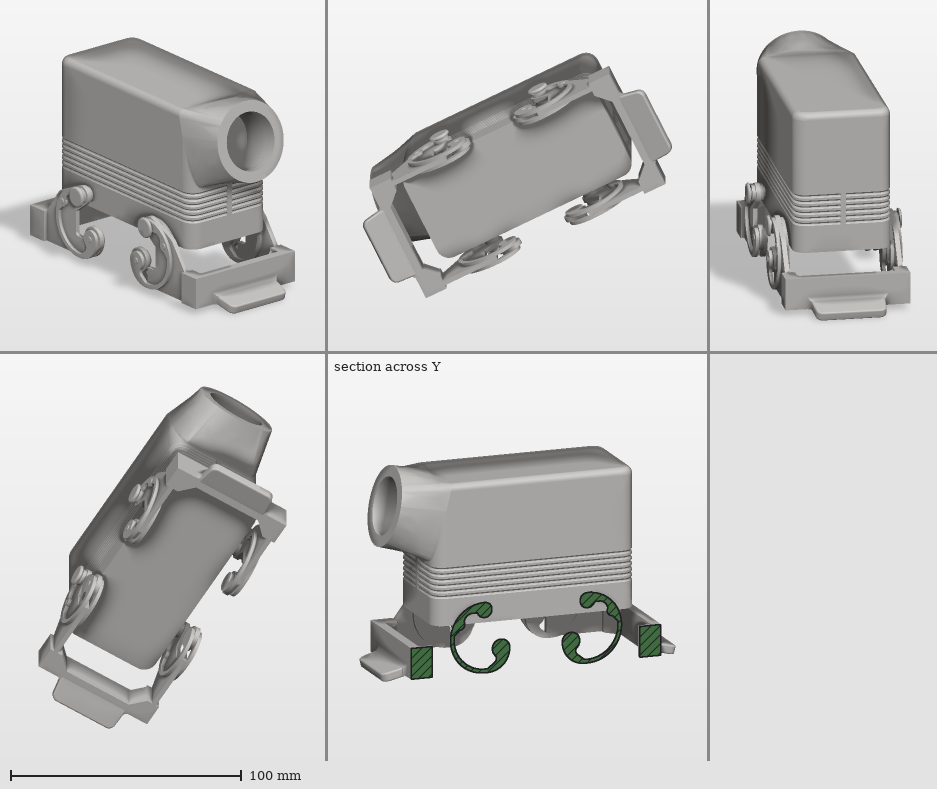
import cadquery as cq
import math

HOOD_LENGTH = 93.3
HOOD_WIDTH = 43.0
HOOD_HEIGHT = 63.0
HOOD_CORNER_RADIUS = 5.8
HOOD_TOP_RADIUS = 3.0

GROOVE_COUNT = 6
GROOVE_PITCH = 2.5
GROOVE_WIDTH = 1.5
GROOVE_WALL_ANGLE = 45.0
FIRST_GROOVE_Z = 12.9
GROOVE_BREAK_WIDTH = 2.5

SPOUT_TILT = 14.0
SPOUT_LENGTH = 19.6
SPOUT_BOTTOM_Z = 28.3
SPOUT_DIAMETER = 36.0
SPOUT_CORNER_ANGLES = (45.8, 55.2, 77.0, 141.7)
BORE_DIAMETER = 26.0

BAR_OUTER_X = -57.8
BAR_THICKNESS = 4.2
BRACKET_LENGTH = 10.0
BRACKET_WIDTH = 55.0
BRACKET_ARM_WIDTH = 6.0
BRACKET_TOP_Z = -8.0
BRACKET_BOTTOM_Z = -22.0
GUSSET_DROP = 1.3
BRACKET_INNER_X = BAR_OUTER_X + BRACKET_LENGTH
BRACKET_INNER_Y = BRACKET_WIDTH / 2 - BRACKET_ARM_WIDTH

PLATE_THICKNESS = 2.1
PLATE_MIDDLE_Y = 24.9
COVER_STACK = 5.2

RIVET_X = -23.75
RIVET_Z = 6.0
RIVET_STEM_RADIUS = 2.5
RIVET_HEAD_RADIUS = 4.6
RIVET_HEAD_THICKNESS = 1.1
RIVET_HEAD_ROUND = 0.95
RIVET_TIP_Y = 29.5
RIVET_EMBED = 1.0
PLATE_EYE_RADIUS = 4.35
COVER_EYE_RADIUS = 3.5

COVER_RADIUS = 15.9
COVER_INNER_RADIUS = 14.0
COVER_CENTER_Z = RIVET_Z + COVER_EYE_RADIUS - COVER_RADIUS

HOOK_CENTER_X = -22.5
HOOK_RADIUS = 10.5
EAR_RADIUS = 4.15
EAR_X = HOOK_CENTER_X + HOOK_RADIUS - EAR_RADIUS
EAR_Z = COVER_CENTER_Z - COVER_RADIUS + HOOK_RADIUS
ROLLER_RADIUS = 5.45

PIN_X = -35.35
PIN_Z = 0.4
PIN_RADIUS = 1.4
PIN_HEIGHT = 0.35
PIN_CHAMFER = 0.25
PIN_BOSS_RADIUS = 2.55

PLATE_END_X = -22.2
SLOT_X = -27.65
SLOT_TOP_Z = -2.4
SLOT_FLOOR_Z = -13.5
SLOT_RADIUS = 1.6

TAB_TILT = 15.0
TAB_TIP_X = -68.18
TAB_THICKNESS = 4.1
TAB_ROOT_TOP_Z = -18.0
TAB_ROOT_HALF_WIDTH = 16.4
TAB_TAPER = 7.0
TAB_CORNER_RADIUS = 3.0
TAB_EDGE_ROUND = 0.8
TAB_ROOT_RADIUS = 2.0


def box(x_range, y_range, z_range):
    """Axis-aligned box between pairs of coordinates."""
    sizes = [high - low for low, high in (x_range, y_range, z_range)]
    corner = (x_range[0], y_range[0], z_range[0])
    return cq.Workplane("XY").box(*sizes, centered=False).translate(corner)


def side_sketch_plane(y):
    """Plane parallel to XZ at the given Y; extrusion runs toward -Y."""
    return cq.Workplane("XZ", origin=(0, y, 0))


def disc(x, z, radius, y_near, y_far):
    """Cylinder along Y from y_far down to y_near."""
    return side_sketch_plane(y_far).center(x, z).circle(radius).extrude(y_far - y_near)


def polar(center, radius, degrees):
    """Point at an angle on a circle."""
    angle = math.radians(degrees)
    return (center[0] + radius * math.cos(angle), center[1] + radius * math.sin(angle))


def split_circle(plane, radius, half_angles):
    """Circle divided at the given angles on both sides of the plane's X axis."""
    angles = sorted([-angle for angle in half_angles] + list(half_angles))
    edges = []
    for start, end in zip(angles, angles[1:] + [angles[0] + 360]):
        points = [polar((0, 0), radius, angle) for angle in (start, (start + end) / 2, end)]
        edges.append(cq.Edge.makeThreePointArc(*[plane.toWorldCoords(point) for point in points]))
    return cq.Wire.assembleEdges(edges)


def hood_block(z_bottom, height, taper=0.0):
    """Prism over the hood's plan outline, optionally narrowing upward."""
    outline = cq.Sketch().rect(HOOD_LENGTH, HOOD_WIDTH).vertices().fillet(HOOD_CORNER_RADIUS)
    plane = cq.Workplane("XY", origin=(0, 0, z_bottom)).placeSketch(outline)
    return plane.extrude(height, taper=taper)


def groove_ring(z_middle):
    """V-shaped band cut all round the hood, left solid at the end-face strips."""
    half = GROOVE_WIDTH / 2
    margin = 1.0
    half_length = HOOD_LENGTH / 2 + margin
    half_width = HOOD_WIDTH / 2 + margin
    ring = box((-half_length, half_length), (-half_width, half_width), (-half, half))
    cone = hood_block(0, half, taper=GROOVE_WALL_ANGLE)
    lower_core = cone.translate((0, 0, -half))
    upper_core = cone.mirror("XY").translate((0, 0, half))
    strip = box(
        (-half_length, half_length),
        (-GROOVE_BREAK_WIDTH / 2, GROOVE_BREAK_WIDTH / 2),
        (-half, half),
    )
    return ring.cut(lower_core).cut(upper_core).cut(strip).translate((0, 0, z_middle))


def make_hood():
    """Rounded hood with its grooves and the tilted cable spout."""
    hood = hood_block(0, HOOD_HEIGHT).faces(">Z").edges().fillet(HOOD_TOP_RADIUS)

    tilt = math.radians(SPOUT_TILT)
    axis = cq.Vector(math.cos(tilt), 0, math.sin(tilt))
    base_height = HOOD_HEIGHT - SPOUT_BOTTOM_Z
    base_middle = cq.Vector(
        HOOD_LENGTH / 2 - base_height * math.tan(tilt) / 2,
        0,
        SPOUT_BOTTOM_Z + base_height / 2,
    )
    base_plane = cq.Plane(origin=base_middle, xDir=(0, 1, 0), normal=axis)
    beyond = cq.Workplane(base_plane).rect(2 * HOOD_WIDTH, 2 * HOOD_HEIGHT).extrude(HOOD_LENGTH)
    end_block = box((0, HOOD_LENGTH), (-HOOD_WIDTH, HOOD_WIDTH), (SPOUT_BOTTOM_Z, 2 * HOOD_HEIGHT))
    hood = hood.cut(beyond.intersect(end_block))

    mouth = base_middle + axis * SPOUT_LENGTH
    rim_plane = cq.Plane(origin=mouth, xDir=(-math.sin(tilt), 0, math.cos(tilt)), normal=axis)
    rim = split_circle(rim_plane, SPOUT_DIAMETER / 2, SPOUT_CORNER_ANGLES)
    base = hood.faces(cq.selectors.ParallelDirSelector(axis)).val().outerWire()
    spout = cq.Solid.makeLoft([base, rim], True)
    hood = hood.union(cq.Workplane(spout))

    bore = cq.Solid.makeCylinder(BORE_DIAMETER / 2, SPOUT_LENGTH, mouth, axis * -1)
    hood = hood.cut(cq.Workplane(bore))
    for index in range(GROOVE_COUNT):
        hood = hood.cut(groove_ring(FIRST_GROOVE_Z + index * GROOVE_PITCH))
    return hood


def make_tab():
    """Sloping finger tab with rounded edges, running into the crossbar."""
    tilt = math.radians(TAB_TILT)
    root_x = BAR_OUTER_X + BAR_THICKNESS / 2
    tip_x = TAB_TIP_X - TAB_EDGE_ROUND * (math.cos(tilt) + math.sin(tilt) - 1)

    def top_z(x):
        return TAB_ROOT_TOP_Z - (BAR_OUTER_X - x) * math.tan(tilt)

    def half_width(x):
        return TAB_ROOT_HALF_WIDTH - (BAR_OUTER_X - x) * math.tan(math.radians(TAB_TAPER))

    drop = TAB_THICKNESS / math.cos(tilt)
    tip_low = (tip_x + TAB_THICKNESS * math.sin(tilt), top_z(tip_x) - TAB_THICKNESS * math.cos(tilt))
    slab = (
        cq.Workplane("XZ")
        .polyline([(root_x, top_z(root_x)), (tip_x, top_z(tip_x)), tip_low, (root_x, top_z(root_x) - drop)])
        .close()
        .extrude(BRACKET_WIDTH / 2, both=True)
    )
    plan = (
        cq.Workplane("XY", origin=(0, 0, BRACKET_BOTTOM_Z - BRACKET_LENGTH))
        .polyline([
            (root_x, -half_width(root_x)),
            (root_x, half_width(root_x)),
            (tip_x, half_width(tip_x)),
            (tip_x, -half_width(tip_x)),
        ])
        .close()
        .extrude(2 * BRACKET_LENGTH)
    )
    tab = slab.intersect(plan)
    tab = tab.faces("<X").edges("not |Y").fillet(TAB_CORNER_RADIUS)
    broad_faces = cq.selectors.ParallelDirSelector(cq.Vector(-math.sin(tilt), 0, math.cos(tilt)))
    root_edges = tab.faces(">X").edges().vals()
    rim = [edge for edge in tab.faces(broad_faces).edges().vals()
           if not any(edge.isSame(other) for other in root_edges)]
    return tab.newObject(rim).fillet(TAB_EDGE_ROUND)


def root_flare(plane, surface, decline, base):
    """Outline from base up to a tab surface, flaring on a concave arc into the crossbar.

    surface is where the tab surface meets the crossbar; it falls away outward by decline degrees.
    """
    open_angle = 90 - decline
    tangent_length = TAB_ROOT_RADIUS * math.tan(math.radians(open_angle / 2))
    center = (BAR_OUTER_X - TAB_ROOT_RADIUS, surface + tangent_length)
    inner_x = BAR_OUTER_X + BAR_THICKNESS / 2
    tab_tangent = polar(center, TAB_ROOT_RADIUS, -open_angle)
    return (
        plane.moveTo(inner_x, base)
        .lineTo(inner_x, center[1])
        .lineTo(*polar(center, TAB_ROOT_RADIUS, 0))
        .threePointArc(polar(center, TAB_ROOT_RADIUS, -open_angle / 2), tab_tangent)
        .lineTo(tab_tangent[0], base)
        .close()
    )


def make_tab_root():
    """Flare on the top and both sides of the tab where it joins the crossbar."""
    elevation = root_flare(cq.Workplane("XZ"), TAB_ROOT_TOP_Z, TAB_TILT, BRACKET_BOTTOM_Z)
    elevation = elevation.extrude(BRACKET_WIDTH / 2, both=True)
    plan_plane = cq.Workplane("XY", origin=(0, 0, BRACKET_BOTTOM_Z))
    plan = root_flare(plan_plane, TAB_ROOT_HALF_WIDTH, TAB_TAPER, 0)
    plan = plan.extrude(BRACKET_TOP_Z - BRACKET_BOTTOM_Z)
    half = elevation.intersect(plan)
    return half.union(half.mirror("XZ"))


def make_bracket():
    """Crossbar with its two short arms, corner gussets and the finger tab."""
    half_width = BRACKET_WIDTH / 2
    heights = (BRACKET_BOTTOM_Z, BRACKET_TOP_Z)
    bar_inner_x = BAR_OUTER_X + BAR_THICKNESS
    bracket = box((BAR_OUTER_X, BRACKET_INNER_X), (-half_width, half_width), heights)
    opening = box((bar_inner_x, BRACKET_INNER_X), (-BRACKET_INNER_Y, BRACKET_INNER_Y), heights)
    bracket = bracket.union(make_tab()).union(make_tab_root()).cut(opening)
    reach = BRACKET_INNER_X - bar_inner_x
    for side in (-1, 1):
        corner_y = side * BRACKET_INNER_Y
        gusset = (
            cq.Workplane("XY", origin=(0, 0, BRACKET_BOTTOM_Z))
            .polyline([
                (bar_inner_x, corner_y),
                (BRACKET_INNER_X, corner_y),
                (bar_inner_x, corner_y - side * reach),
            ])
            .close()
            .extrude(BRACKET_TOP_Z - GUSSET_DROP - BRACKET_BOTTOM_Z)
        )
        bracket = bracket.union(gusset)
    return bracket


def make_side_plate():
    """Flat side plate reaching from the bracket arm to the rivet, with its slot."""
    y_far = PLATE_MIDDLE_Y + PLATE_THICKNESS / 2
    y_near = PLATE_MIDDLE_Y - PLATE_THICKNESS / 2
    slope_end = (-40.5, 1.9)
    shoulder_middle = (-39.1, 3.63)
    shoulder_end = (-37.3, 4.9)
    eye = (RIVET_X, RIVET_Z)
    eye_upper_tangent = polar(eye, PLATE_EYE_RADIUS, 113)
    eye_lower_tangent = polar(eye, PLATE_EYE_RADIUS, -55)
    plate = (
        side_sketch_plane(y_far)
        .moveTo(BRACKET_INNER_X, BRACKET_BOTTOM_Z)
        .lineTo(BRACKET_INNER_X, BRACKET_TOP_Z)
        .lineTo(*slope_end)
        .threePointArc(shoulder_middle, shoulder_end)
        .lineTo(*eye_upper_tangent)
        .lineTo(*eye)
        .lineTo(*eye_lower_tangent)
        .lineTo(SLOT_X, SLOT_TOP_Z)
        .lineTo(SLOT_X, SLOT_FLOOR_Z + SLOT_RADIUS)
        .radiusArc((SLOT_X + SLOT_RADIUS, SLOT_FLOOR_Z), -SLOT_RADIUS)
        .lineTo(PLATE_END_X, SLOT_FLOOR_Z)
        .lineTo(PLATE_END_X, BRACKET_BOTTOM_Z)
        .close()
        .extrude(PLATE_THICKNESS)
    )
    return plate.union(disc(*eye, PLATE_EYE_RADIUS, y_near, y_far))


def make_hook():
    """Crescent covers on both faces of the side plate, ending in the hooked ear."""
    y_far = PLATE_MIDDLE_Y + COVER_STACK / 2
    y_near = PLATE_MIDDLE_Y - COVER_STACK / 2
    center = (RIVET_X, COVER_CENTER_Z)
    hook_center = (HOOK_CENTER_X, EAR_Z)
    ear = (EAR_X, EAR_Z)
    pin = (PIN_X, PIN_Z)
    throat_top = polar(ear, EAR_RADIUS, 225)
    throat_middle = (-18.45, -16.4)
    throat_bottom = (-19.65, -18.25)
    inner_start = polar(center, COVER_INNER_RADIUS, 276)
    inner_middle = polar(center, COVER_INNER_RADIUS, 225)
    inner_end = polar(center, COVER_INNER_RADIUS, 172)
    neck_shoulder = (-31.75, 4.05)
    neck_end = (-28.6, 4.9)
    cover_thickness = (COVER_STACK - PLATE_THICKNESS) / 2
    cover = (
        side_sketch_plane(cover_thickness)
        .moveTo(*polar(center, COVER_RADIUS, 90))
        .threePointArc(polar(center, COVER_RADIUS, 180), polar(center, COVER_RADIUS, 270))
        .lineTo(*polar(hook_center, HOOK_RADIUS, 270))
        .threePointArc(polar(hook_center, HOOK_RADIUS, 315), polar(ear, EAR_RADIUS, 0))
        .threePointArc(polar(ear, EAR_RADIUS, 110), throat_top)
        .threePointArc(throat_middle, throat_bottom)
        .lineTo(*inner_start)
        .threePointArc(inner_middle, inner_end)
        .lineTo(*polar(pin, PIN_BOSS_RADIUS, 270))
        .threePointArc(polar(pin, PIN_BOSS_RADIUS, 330), polar(pin, PIN_BOSS_RADIUS, 25))
        .threePointArc(neck_shoulder, neck_end)
        .lineTo(RIVET_X, neck_end[1])
        .close()
        .extrude(cover_thickness)
    )
    cover = cover.union(disc(RIVET_X, RIVET_Z, COVER_EYE_RADIUS, 0, cover_thickness))
    inner_cover = cover.translate((0, y_near, 0))
    outer_cover = cover.translate((0, y_far - cover_thickness, 0))
    half_plate = PLATE_THICKNESS / 2
    roller = disc(*ear, ROLLER_RADIUS, PLATE_MIDDLE_Y - half_plate, PLATE_MIDDLE_Y + half_plate)
    hook = roller.union(inner_cover).union(outer_cover)
    for x, z in (pin, ear):
        head = disc(x, z, PIN_RADIUS, y_far, y_far + PIN_HEIGHT)
        hook = hook.union(head.faces(">Y").chamfer(PIN_CHAMFER))
    return hook


def make_rivet():
    """Rivet joining the lever to the hood wall."""
    head_start = RIVET_TIP_Y - RIVET_HEAD_THICKNESS
    hood_wall_y = HOOD_WIDTH / 2
    stem = disc(RIVET_X, RIVET_Z, RIVET_STEM_RADIUS, hood_wall_y - RIVET_EMBED, head_start)
    head = disc(RIVET_X, RIVET_Z, RIVET_HEAD_RADIUS, head_start, RIVET_TIP_Y)
    return stem.union(head.faces(">Y").edges().fillet(RIVET_HEAD_ROUND))


def make_lever():
    """Complete lever at the -X end."""
    side = make_side_plate().union(make_hook()).union(make_rivet())
    return make_bracket().union(side).union(side.mirror("XZ"))


lever = make_lever()
result = make_hood().union(lever).union(lever.mirror("YZ"))